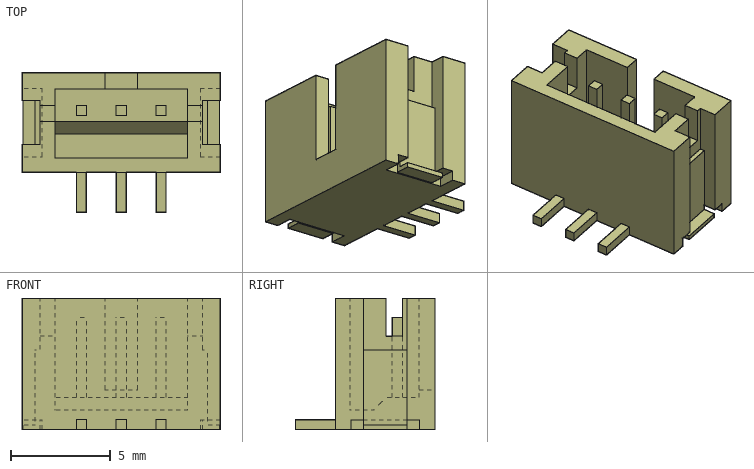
import cadquery as cq

HOUSING_WIDTH = 9.95
HOUSING_DEPTH = 5.0
HOUSING_HEIGHT = 6.6
LEFT = -HOUSING_WIDTH / 2
BACK = HOUSING_DEPTH / 2
FRONT = -BACK

SLOT_WIDTH = 0.82
SLOT_DEPTH = 1.9
SLOT_SETBACK = 1.64
SLOT_BACK_Y = BACK - SLOT_SETBACK
SLOT_FRONT_Y = SLOT_BACK_Y - SLOT_WIDTH

SIDE_WALL = 1.66
BACK_WALL = 0.81
FRONT_WALL = 0.73
CAVITY_WIDTH = HOUSING_WIDTH - 2 * SIDE_WALL
CAVITY_BACK_Y = BACK - BACK_WALL
CAVITY_FRONT_Y = FRONT + FRONT_WALL
RAMP_SIZE = 0.62
FRONT_FLOOR_Z = 0.995
BACK_FLOOR_Z = FRONT_FLOOR_Z + RAMP_SIZE

KEYWAY_WIDTH = 1.63
KEYWAY_FLOOR_Z = 1.99

GROOVE_WIDTH = 2.2
GROOVE_DEPTH = 0.9
GROOVE_FLOOR_X = LEFT + GROOVE_DEPTH
RELIEF_WIDTH = 3.43
RELIEF_DEPTH = 0.995
RELIEF_HEIGHT = 0.5

CLIP_THICKNESS = 0.24
CLIP_HEIGHT = 4.0
FOOT_SETBACK = 0.04

PIN_COUNT = 3
PIN_PITCH = 2.0
PIN_SIZE = 0.51
PIN_TOP_Z = 5.64
PIN_BACK_Y = SLOT_BACK_Y
LEG_PROJECTION = 2.0


def block(x_range, y_range, z_range):
    """Axis-aligned box between the given low and high limits."""
    (x0, x1), (y0, y1), (z0, z1) = x_range, y_range, z_range
    return cq.Workplane("XY").box(x1 - x0, y1 - y0, z1 - z0, centered=False).translate((x0, y0, z0))


def centred(width):
    """Limits of a span of the given width centred on zero."""
    return (-width / 2, width / 2)


def cavity():
    profile = [
        (CAVITY_BACK_Y, HOUSING_HEIGHT),
        (CAVITY_BACK_Y, BACK_FLOOR_Z),
        (SLOT_FRONT_Y, BACK_FLOOR_Z),
        (SLOT_FRONT_Y - RAMP_SIZE, FRONT_FLOOR_Z),
        (CAVITY_FRONT_Y, FRONT_FLOOR_Z),
        (CAVITY_FRONT_Y, HOUSING_HEIGHT),
    ]
    return cq.Workplane("YZ").polyline(profile).close().extrude(CAVITY_WIDTH / 2, both=True)


def keyway():
    return block(centred(KEYWAY_WIDTH), (CAVITY_BACK_Y, BACK), (KEYWAY_FLOOR_Z, HOUSING_HEIGHT))


def side_slots():
    return block(
        centred(HOUSING_WIDTH),
        (SLOT_FRONT_Y, SLOT_BACK_Y),
        (HOUSING_HEIGHT - SLOT_DEPTH, HOUSING_HEIGHT),
    )


def left_groove():
    groove = block((LEFT, GROOVE_FLOOR_X), centred(GROOVE_WIDTH), (0, HOUSING_HEIGHT))
    relief = block((LEFT, LEFT + RELIEF_DEPTH), centred(RELIEF_WIDTH), (0, RELIEF_HEIGHT))
    return groove.union(relief)


def left_clip():
    plate = block((GROOVE_FLOOR_X - CLIP_THICKNESS, GROOVE_FLOOR_X), centred(GROOVE_WIDTH), (0, CLIP_HEIGHT))
    foot = block(
        (LEFT + FOOT_SETBACK, GROOVE_FLOOR_X),
        centred(GROOVE_WIDTH),
        (0, CLIP_THICKNESS),
    )
    return plate.union(foot)


def pin(x):
    pin_x = (x - PIN_SIZE / 2, x + PIN_SIZE / 2)
    post = block(pin_x, (PIN_BACK_Y - PIN_SIZE, PIN_BACK_Y), (0, PIN_TOP_Z))
    leg = block(pin_x, (FRONT - LEG_PROJECTION, PIN_BACK_Y), (0, PIN_SIZE))
    return post.union(leg)


result = block(centred(HOUSING_WIDTH), centred(HOUSING_DEPTH), (0, HOUSING_HEIGHT))
result = result.cut(cavity()).cut(keyway()).cut(side_slots())
result = result.cut(left_groove()).cut(left_groove().mirror("YZ"))
result = result.union(left_clip()).union(left_clip().mirror("YZ"))

first_pin_x = -PIN_PITCH * (PIN_COUNT - 1) / 2
for index in range(PIN_COUNT):
    result = result.union(pin(first_pin_x + index * PIN_PITCH))